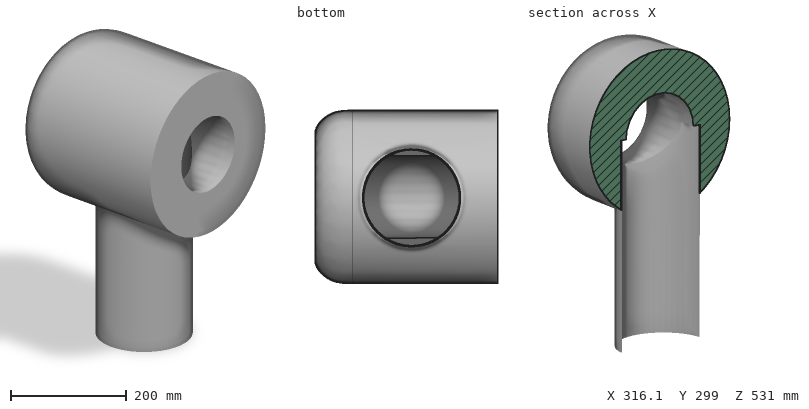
import cadquery as cq

total_height = 531.0
head_length = 316.0
head_radius = 149.5
nose_length = 63.5
throat_depth = 29.5
throat_radius = 73.0
bore_end_radius = 69.5
post_radius = 84.5
post_wall = 1.5
post_x = 166.5
post_y = 1.5

axis_height = total_height - head_radius
rim_radius = (head_radius + throat_radius) / 2


def quarter_ellipse_middle(x_center, r_center, x_size, r_size):
    """Point halfway round a quarter ellipse on its front side."""
    diagonal = 0.5 ** 0.5
    return (x_center - x_size * diagonal, r_center + r_size * diagonal)


def make_head_blank():
    """Ring with an elliptical nose and a tapered bore, revolved about the X axis."""
    outer_middle = quarter_ellipse_middle(nose_length, rim_radius, nose_length, head_radius - rim_radius)
    inner_middle = quarter_ellipse_middle(throat_depth, rim_radius, throat_depth, throat_radius - rim_radius)
    return (
        cq.Workplane("XY")
        .moveTo(head_length, head_radius)
        .lineTo(nose_length, head_radius)
        .spline(
            [outer_middle, (0, rim_radius), inner_middle, (throat_depth, throat_radius)],
            tangents=[(-1, 0), (1, 0)],
            includeCurrent=True,
        )
        .lineTo(head_length, bore_end_radius)
        .close()
        .revolve(360, (0, 0, 0), (1, 0, 0))
        .translate((0, 0, axis_height))
    )


def make_post_blank():
    """Round post reaching up to the head's axis."""
    return cq.Workplane("XY").center(post_x, post_y).circle(post_radius).extrude(axis_height)


def make_post_passage():
    """Space inside the tubular post."""
    return cq.Workplane("XY").center(post_x, post_y).circle(post_radius - post_wall).extrude(axis_height)


def make_bore():
    """Space inside the tapered bore, behind its throat."""
    return (
        cq.Workplane("XY")
        .moveTo(throat_depth, 0)
        .lineTo(throat_depth, throat_radius)
        .lineTo(head_length, bore_end_radius)
        .lineTo(head_length, 0)
        .close()
        .revolve(360, (0, 0, 0), (1, 0, 0))
        .translate((0, 0, axis_height))
    )


head = make_head_blank().cut(make_post_blank())
post = make_post_blank().cut(make_post_passage()).cut(make_bore())

result = cq.Compound.makeCompound([head.val(), post.val()])